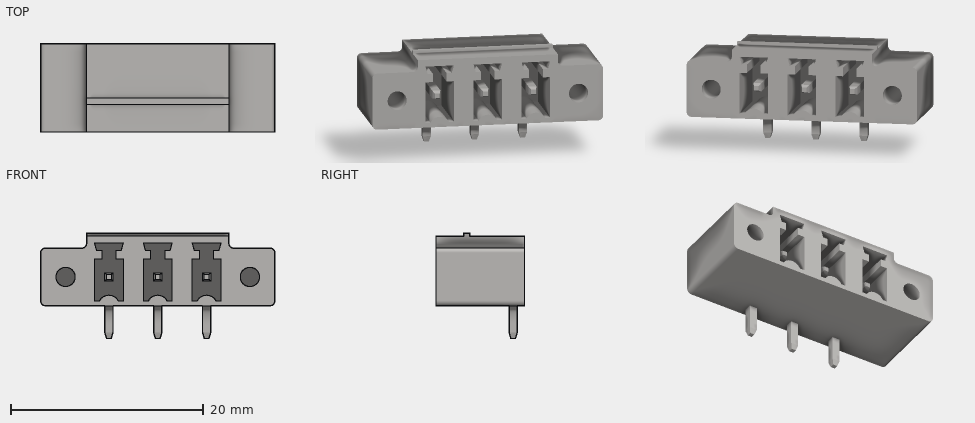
import cadquery as cq

total_length = 24.36
depth = 9.2
flange_height = 6.0
middle_length = 14.8
middle_height = 7.25
edge_radius = 0.5
front = -depth / 2
back = depth / 2

ridge_height = 0.3
ridge_width = 0.66
ridge_y = -1.41

contact_count = 3
pitch = 5.08
pin_size = 0.86
pin_tip_size = 0.5
pin_taper = 0.6
pin_axis_z = flange_height / 2
tail_y = 3.42
tail_length = 3.4
pin_front_setback = 1.4

back_wall = 2.0
cavity_depth = depth - back_wall
cavity_half_width = 1.5
cavity_floor = 0.5
shoulder_z = 4.84
neck_half_width = 0.73
dovetail_bottom_z = 5.73
dovetail_bottom_half_width = 1.27
cavity_top = 6.53
floor_bump_radius = 1.1

bushing_x = 9.58
bushing_diameter = 4.0
bushing_bore = 2.0
bushing_length = cavity_depth


def extrude_from_front(outline, length):
    """Extrude a sketch drawn on the front plane towards +Y."""
    return outline.extrude(-length)


def front_plane(x=0, z=0):
    return cq.Workplane("XZ", origin=(x, front, z))


def make_housing():
    flanges = extrude_from_front(
        front_plane(z=flange_height / 2).rect(total_length, flange_height), depth
    ).edges("|Y").fillet(edge_radius)
    middle = extrude_from_front(
        front_plane(z=middle_height / 2).rect(middle_length, middle_height), depth
    )
    housing = flanges.union(middle)

    reach = edge_radius / 2
    inner_corners = cq.selectors.BoxSelector(
        (-middle_length / 2 - reach, front, flange_height - reach),
        (middle_length / 2 + reach, back, flange_height + reach),
    )
    housing = housing.edges("|Y").edges(inner_corners).fillet(edge_radius)

    ridge = cq.Workplane("XY", origin=(0, ridge_y, flange_height)).box(
        middle_length,
        ridge_width,
        middle_height + ridge_height - flange_height,
        centered=(True, True, False),
    )
    return housing.union(ridge)


def make_cavity(x):
    """Plug cavity: wide chamber, narrow neck and dovetail, with a rounded floor bump."""
    right_side = [
        (cavity_half_width, cavity_floor),
        (cavity_half_width, shoulder_z),
        (neck_half_width, shoulder_z),
        (neck_half_width, dovetail_bottom_z),
        (dovetail_bottom_half_width, dovetail_bottom_z),
        (cavity_half_width, cavity_top),
    ]
    left_side = [(-px, pz) for px, pz in reversed(right_side)]
    cavity = extrude_from_front(front_plane(x).polyline(right_side + left_side).close(), cavity_depth)
    bump = extrude_from_front(front_plane(x).circle(floor_bump_radius), cavity_depth)
    return cavity.cut(bump)


def make_tapered_bar(plane, length):
    """Square bar from the plane along its normal, ending in a tapered tip."""
    shank_length = length - pin_taper
    shank = cq.Workplane(plane).rect(pin_size, pin_size).extrude(shank_length)
    tip = (
        cq.Workplane(plane)
        .workplane(offset=shank_length)
        .rect(pin_size, pin_size)
        .workplane(offset=pin_taper)
        .rect(pin_tip_size, pin_tip_size)
        .loft()
    )
    return shank.union(tip)


def make_pin(x):
    """Right-angle contact: a blade facing the front and a solder tail going down."""
    corner = (x, tail_y, pin_axis_z)
    blade_plane = cq.Plane(origin=corner, xDir=(1, 0, 0), normal=(0, -1, 0))
    tail_plane = cq.Plane(origin=corner, xDir=(1, 0, 0), normal=(0, 0, -1))
    blade = make_tapered_bar(blade_plane, tail_y - front - pin_front_setback)
    tail = make_tapered_bar(tail_plane, pin_axis_z + tail_length)
    return blade.union(tail)


def make_bushing_seat(x):
    return extrude_from_front(front_plane(x, pin_axis_z).circle(bushing_diameter / 2), bushing_length)


def make_bushing(x):
    bore = extrude_from_front(front_plane(x, pin_axis_z).circle(bushing_bore / 2), bushing_length)
    return make_bushing_seat(x).cut(bore)


result = make_housing()
for index in range(contact_count):
    contact_x = (index - (contact_count - 1) / 2) * pitch
    result = result.cut(make_cavity(contact_x)).union(make_pin(contact_x))

for bushing_center in (-bushing_x, bushing_x):
    result = result.cut(make_bushing_seat(bushing_center), clean=False)
    result = result.union(make_bushing(bushing_center), clean=False)